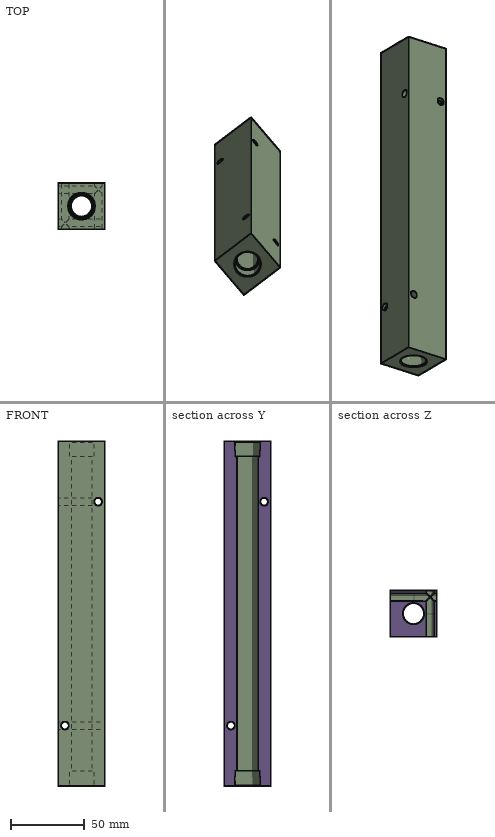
import cadquery as cq

bar_width = 31.75
bar_length = 234.95

bore_diameter = 14.2
port_diameter = 17.05
port_depth = 10.4
port_taper = 1 / 16
port_chamfer = 0.7

hole_diameter = 5.1
hole_offset = 11.3
hole_end_distance = 41.275
hole_height = bar_length / 2 - hole_end_distance


def make_bar():
    return cq.Workplane("XY").box(bar_width, bar_width, bar_length)


def make_bore():
    """Solid of revolution filling the through bore, tapered ports and lead-in chamfers."""
    end = bar_length / 2
    bore_radius = bore_diameter / 2
    port_radius = port_diameter / 2
    port_floor_radius = port_radius - port_taper * (port_depth - port_chamfer) / 2
    mouth_radius = port_radius + port_chamfer
    upper_half = (
        cq.Workplane("XZ")
        .moveTo(0, 0)
        .lineTo(bore_radius, 0)
        .lineTo(bore_radius, end - port_depth)
        .lineTo(port_floor_radius, end - port_depth)
        .lineTo(port_radius, end - port_chamfer)
        .lineTo(mouth_radius, end)
        .lineTo(0, end)
        .close()
        .revolve(360, (0, 0, 0), (0, 1, 0))
    )
    return upper_half.union(upper_half.mirror("XY"))


def make_cross_holes():
    """Two through holes, along Y and along X, at each of the two heights."""
    holes = cq.Workplane("XY")
    for side in (-1, 1):
        position = (side * hole_offset, side * hole_height)
        for plane in ("XZ", "YZ"):
            hole = (
                cq.Workplane(plane)
                .center(*position)
                .circle(hole_diameter / 2)
                .extrude(bar_width / 2, both=True)
            )
            holes = holes.add(hole)
    return holes.combine()


result = make_bar().cut(make_bore()).cut(make_cross_holes())